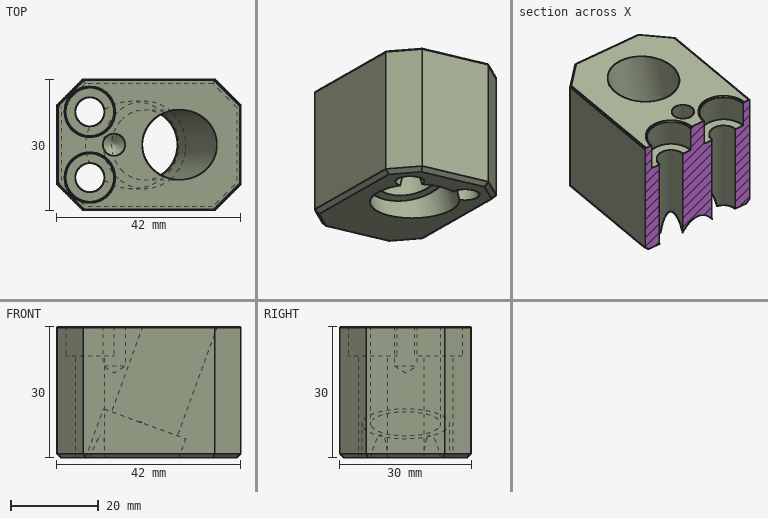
import cadquery as cq
import math

length = 42.0
width = 30.0
height = 30.0
corner_cut = 6.0
top_chamfer = 0.3
bottom_chamfer = 1.0

bore_diameter = 16.0
bore_tilt = 20.0
bore_top_x = 7.0

relief_diameter = 20.0
relief_start = 23.55

screw_x = -13.5
screw_spacing = 15.0
screw_diameter = 6.6
head_diameter = 11.0
head_depth = 6.68
head_chamfer = 0.3

drill_x = -8.0
drill_diameter = 5.1
drill_depth = 9.0
drill_point_angle = 118.0


def make_block():
    block = cq.Workplane("XY").box(length, width, height, centered=(True, True, False))
    block = block.edges("|Z").chamfer(corner_cut)
    block = block.faces(">Z").edges().chamfer(top_chamfer)
    return block.faces("<Z").edges().chamfer(bottom_chamfer)


def make_slanted_cutter():
    tilt = math.radians(bore_tilt)
    overrun = bore_diameter
    axis_length = height / math.cos(tilt)
    bore_top = cq.Vector(bore_top_x, 0, height)
    down_axis = cq.Vector(-math.sin(tilt), 0, -math.cos(tilt))

    bore = cq.Solid.makeCylinder(
        bore_diameter / 2,
        axis_length + 2 * overrun,
        bore_top - down_axis * overrun,
        down_axis,
    )
    relief = cq.Solid.makeCylinder(
        relief_diameter / 2,
        axis_length - relief_start + overrun,
        bore_top + down_axis * relief_start,
        down_axis,
    )
    return cq.Workplane("XY").newObject([bore.fuse(relief)])


def make_screw_cutter():
    screw_radius = screw_diameter / 2
    head_radius = head_diameter / 2
    profile = [
        (0, 0),
        (screw_radius, 0),
        (screw_radius, height - head_depth),
        (head_radius, height - head_depth),
        (head_radius, height - head_chamfer),
        (head_radius + head_chamfer, height),
        (0, height),
    ]
    return cq.Workplane("XZ").polyline(profile).close().revolve(360, (0, 0), (0, 1))


def make_drill_cutter():
    radius = drill_diameter / 2
    shoulder_z = height - drill_depth
    point_height = radius / math.tan(math.radians(drill_point_angle / 2))
    profile = [
        (0, shoulder_z - point_height),
        (radius, shoulder_z),
        (radius, height),
        (0, height),
    ]
    return cq.Workplane("XZ").polyline(profile).close().revolve(360, (0, 0), (0, 1))


result = make_block().cut(make_slanted_cutter())
for side in (-1, 1):
    result = result.cut(make_screw_cutter().translate((screw_x, side * screw_spacing / 2, 0)))
result = result.cut(make_drill_cutter().translate((drill_x, 0, 0)))